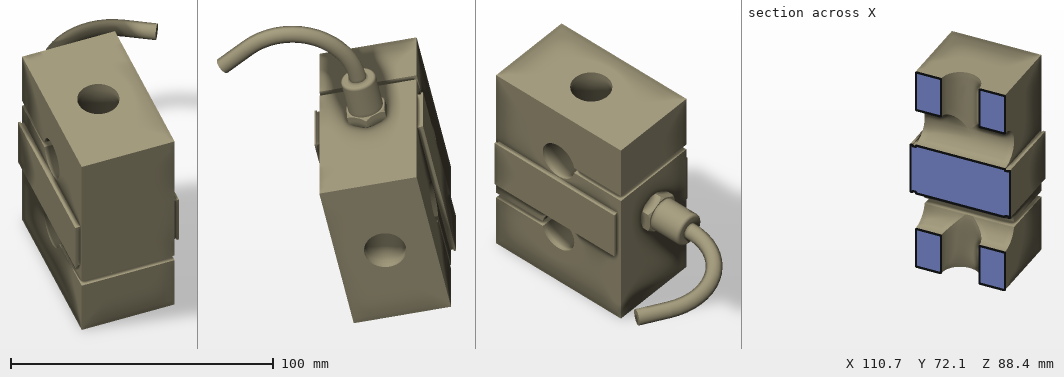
import cadquery as cq
import math


block_length = 63.1
block_width = 37.8
block_height = 88.4
mid_x = block_length / 2

bore_radius = 8.0
bore_offset = 18.9
slot_height = 2.5

loading_hole_radius = 8.02

cover_length = 60.5
cover_height = 21.6
cover_start = 1.4
cover_thickness = 0.9
pad_thickness = 1.3
pad_inset = 0.4

nut_flats = 14.6
nut_thickness = 4.4
nut_corner_radius = nut_flats / 2 / math.cos(math.radians(30))
nut_face_radius = 7.5
gland_radius = 6.7
gland_length = 13.8
gland_fillet = 1.1
gland_end = -nut_thickness - gland_length

cable_reach = 47.6
cable_radius = 3.2
cable_lead = 0.8
cable_tail = 13.0
cable_turn = math.radians(120)


def box_between(x0, x1, y0, y1, z0, z1):
    return cq.Workplane("XY").box(x1 - x0, y1 - y0, z1 - z0, centered=False).translate((x0, y0, z0))


def make_block():
    block = cq.Workplane("XY").box(block_length, block_width, block_height).translate((mid_x, 0, 0))
    for side, open_end in ((1, 0), (-1, block_length)):
        bore_z = side * bore_offset
        bore = (
            cq.Workplane("XZ")
            .center(mid_x, bore_z)
            .circle(bore_radius)
            .extrude(block_width / 2, both=True)
        )
        slot = box_between(
            min(open_end, mid_x), max(open_end, mid_x),
            -block_width / 2, block_width / 2,
            bore_z - slot_height / 2, bore_z + slot_height / 2,
        )
        loading_hole = (
            cq.Workplane("XY", origin=(mid_x, 0, bore_z))
            .circle(loading_hole_radius)
            .extrude(side * (block_height / 2 - bore_offset))
        )
        block = block.cut(bore).cut(slot).cut(loading_hole)
    return block


def make_cover():
    """Cover on the +Y side of the block."""
    pad_y = block_width / 2
    plate_y = pad_y + pad_thickness
    cover_end = cover_start + cover_length
    pad_half_height = cover_height / 2 - pad_inset
    pad = box_between(
        cover_start + pad_inset, cover_end - pad_inset,
        pad_y, plate_y, -pad_half_height, pad_half_height,
    )
    plate = box_between(
        cover_start, cover_end, plate_y, plate_y + cover_thickness,
        -cover_height / 2, cover_height / 2,
    )
    return pad.union(plate)


def make_nut():
    """Hexagon nut with two corners along Z and bevelled corners on both faces."""
    corners = []
    for i in range(6):
        angle = math.radians(60 * i)
        corners.append((nut_corner_radius * math.sin(angle), nut_corner_radius * math.cos(angle)))
    hexagon = cq.Workplane("YZ").polyline(corners).close().extrude(-nut_thickness)
    bevel = nut_corner_radius - nut_face_radius
    envelope = (
        cq.Workplane("XY")
        .polyline([
            (0, 0),
            (0, nut_face_radius),
            (-bevel, nut_corner_radius),
            (-nut_thickness + bevel, nut_corner_radius),
            (-nut_thickness, nut_face_radius),
            (-nut_thickness, 0),
        ])
        .close()
        .revolve(360, (0, 0, 0), (1, 0, 0))
    )
    return hexagon.intersect(envelope)


def make_gland():
    return (
        cq.Workplane("YZ", origin=(-nut_thickness, 0, 0))
        .circle(gland_radius)
        .extrude(-gland_length)
        .faces("<X")
        .edges()
        .fillet(gland_fillet)
    )


def make_cable():
    """Cable that leaves along -X, bends towards +Y and ends in a straight tail."""
    bend_start = gland_end - cable_lead
    bend_radius = cable_reach - cable_radius + bend_start

    def bend_point(angle):
        return (bend_start - bend_radius * math.sin(angle), bend_radius * (1 - math.cos(angle)))

    end_x, end_y = bend_point(cable_turn)
    tail_end = (end_x - cable_tail * math.cos(cable_turn), end_y + cable_tail * math.sin(cable_turn))
    path = (
        cq.Workplane("XY")
        .moveTo(gland_end, 0)
        .lineTo(bend_start, 0)
        .threePointArc(bend_point(cable_turn / 2), (end_x, end_y))
        .lineTo(*tail_end)
    )
    return cq.Workplane("YZ", origin=(gland_end, 0, 0)).circle(cable_radius).sweep(path)


cover = make_cover()
result = (
    make_block()
    .union(cover)
    .union(cover.mirror("XZ"))
    .union(make_nut())
    .union(make_gland())
    .union(make_cable())
)